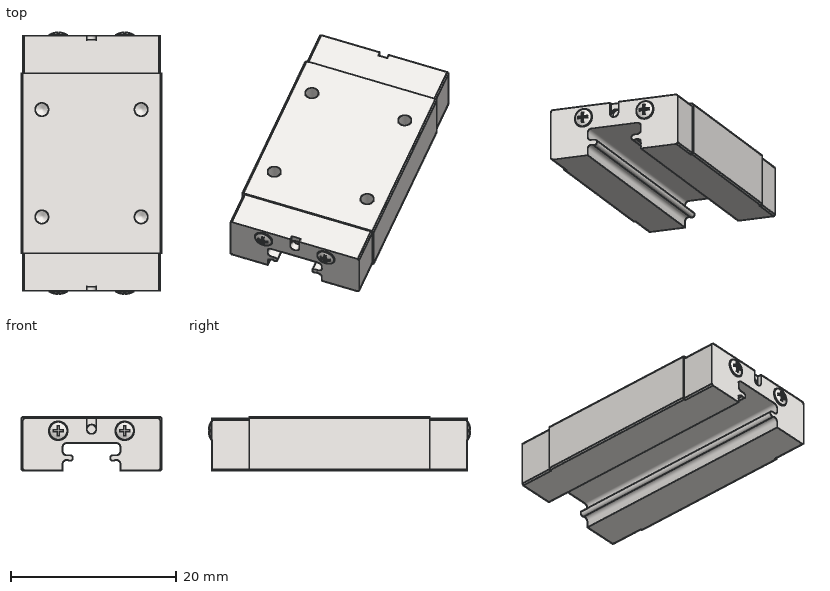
import cadquery as cq
import math

total_length = 31.67
block_width = 17.0
block_height = 6.5
edge_chamfer = 0.2

screw_x = 4.02
screw_z = 4.8
screw_base_radius = 1.15
screw_rim_taper = 0.05
screw_rim_radius = screw_base_radius - screw_rim_taper
screw_rim_height = 0.1
screw_dome_height = 0.32
screw_head_height = screw_rim_height + screw_dome_height
recess_span = 1.25
recess_width = 0.25
recess_depth = 0.32
dome_radius = (screw_rim_radius**2 + screw_dome_height**2) / (2 * screw_dome_height)
crest_drop = dome_radius - math.sqrt(dome_radius**2 - recess_width**2 / 2)
body_length = total_length - 2 * (screw_head_height - crest_drop)

block_length = 21.8
end_step = 0.2
end_width = block_width - 2 * end_step
end_height = block_height - end_step

channel_half_width = 3.48
channel_top = 3.33
channel_corner_radius = 0.5
lip_top = 1.87
lip_neck_bottom = 1.27
lip_reach = 2.25
lip_tip_radius = 0.35
lip_root_radius = 0.48

port_radius = 0.57
port_z = 5.0
port_slot_depth = 0.5
port_hole_depth = 1.0

hole_pitch_x = 12.0
hole_pitch_y = 13.0
hole_diameter = 1.6
hole_depth = 2.5
drill_point_angle = 118.0


def chamfered_bar(width, length, height):
    """Bar standing on Z = 0 with its long edges chamfered."""
    bar = cq.Workplane("XY").box(width, length, height, centered=(True, True, False))
    return bar.edges("|Y").chamfer(edge_chamfer)


def lip_tool(side):
    """Solid that leaves a sealing lip when taken out of the channel tool, on one side (+1 or -1)."""
    tip_x = lip_reach + lip_tip_radius
    tip_z = lip_top - lip_tip_radius
    neck_drop = tip_z - lip_neck_bottom
    neck_x = tip_x + math.sqrt(lip_tip_radius**2 - neck_drop**2)
    wall = channel_half_width
    outer = wall + lip_root_radius
    inset = lip_root_radius * (1 - math.sqrt(0.5))

    def at(x, z):
        return (side * x, z)

    return (
        cq.Workplane("XZ", origin=(0, body_length / 2, 0))
        .moveTo(*at(tip_x, lip_top))
        .lineTo(*at(wall - lip_root_radius, lip_top))
        .threePointArc(at(wall - inset, lip_top + inset), at(wall, lip_top + lip_root_radius))
        .lineTo(*at(outer, lip_top + lip_root_radius))
        .lineTo(*at(outer, lip_neck_bottom - lip_root_radius))
        .lineTo(*at(wall, lip_neck_bottom - lip_root_radius))
        .threePointArc(at(wall - inset, lip_neck_bottom - inset), at(wall - lip_root_radius, lip_neck_bottom))
        .lineTo(*at(neck_x, lip_neck_bottom))
        .threePointArc(at(lip_reach, tip_z), at(tip_x, lip_top))
        .close()
        .extrude(body_length)
    )


def rail_channel():
    """Channel along the whole body, open at the bottom, narrowed by a lip on each side."""
    channel = cq.Workplane("XY").box(
        2 * channel_half_width, body_length, channel_top, centered=(True, True, False)
    )
    channel = channel.edges("|Y and >Z").fillet(channel_corner_radius)
    for side in (-1, 1):
        channel = channel.cut(lip_tool(side))
    return channel


def mounting_hole():
    """Blind drilled hole with a conical bottom, opening at the top of the block."""
    radius = hole_diameter / 2
    point_depth = radius / math.tan(math.radians(drill_point_angle / 2))
    return (
        cq.Workplane("XZ", origin=(0, 0, block_height))
        .polyline([(0, 0), (radius, 0), (radius, -hole_depth), (0, -hole_depth - point_depth)])
        .close()
        .revolve(360, (0, 0, 0), (0, 1, 0))
    )


def grease_port():
    """Round port in the -Y end face with a shallow slot running up to the top."""
    face = cq.Workplane("XZ", origin=(0, -body_length / 2, 0))
    hole = face.center(0, port_z).circle(port_radius).extrude(-port_hole_depth)
    slot_height = block_height - port_z
    slot = (
        face.center(0, port_z + slot_height / 2)
        .rect(2 * port_radius, slot_height)
        .extrude(-port_slot_depth)
    )
    return hole.union(slot)


def screw_head():
    """Domed, cross-recessed screw head on the -Y end face, centred on X = 0, Z = 0."""
    half_angle = math.asin(screw_rim_radius / dome_radius) / 2
    mid_point = (
        dome_radius * math.sin(half_angle),
        screw_head_height - dome_radius * (1 - math.cos(half_angle)),
    )
    head = (
        cq.Workplane("XY")
        .lineTo(screw_base_radius, 0)
        .lineTo(screw_rim_radius, screw_rim_height)
        .threePointArc(mid_point, (0, screw_head_height))
        .close()
        .revolve(360, (0, 0, 0), (0, 1, 0))
    )
    for arm in ((recess_span, recess_width), (recess_width, recess_span)):
        recess = (
            cq.Workplane("XZ", origin=(0, screw_head_height, 0)).rect(*arm).extrude(recess_depth)
        )
        head = head.cut(recess)
    return head.mirror("XZ").translate((0, -body_length / 2, 0))


body = chamfered_bar(block_width, block_length, block_height)
body = body.union(chamfered_bar(end_width, body_length, end_height))
body = body.cut(rail_channel())

for x in (-hole_pitch_x / 2, hole_pitch_x / 2):
    for y in (-hole_pitch_y / 2, hole_pitch_y / 2):
        body = body.cut(mounting_hole().translate((x, y, 0)))

port = grease_port()
body = body.cut(port).cut(port.mirror("XZ"))
for x in (-screw_x, screw_x):
    screw = screw_head().translate((x, 0, screw_z))
    body = body.union(screw).union(screw.mirror("XZ"))

result = body